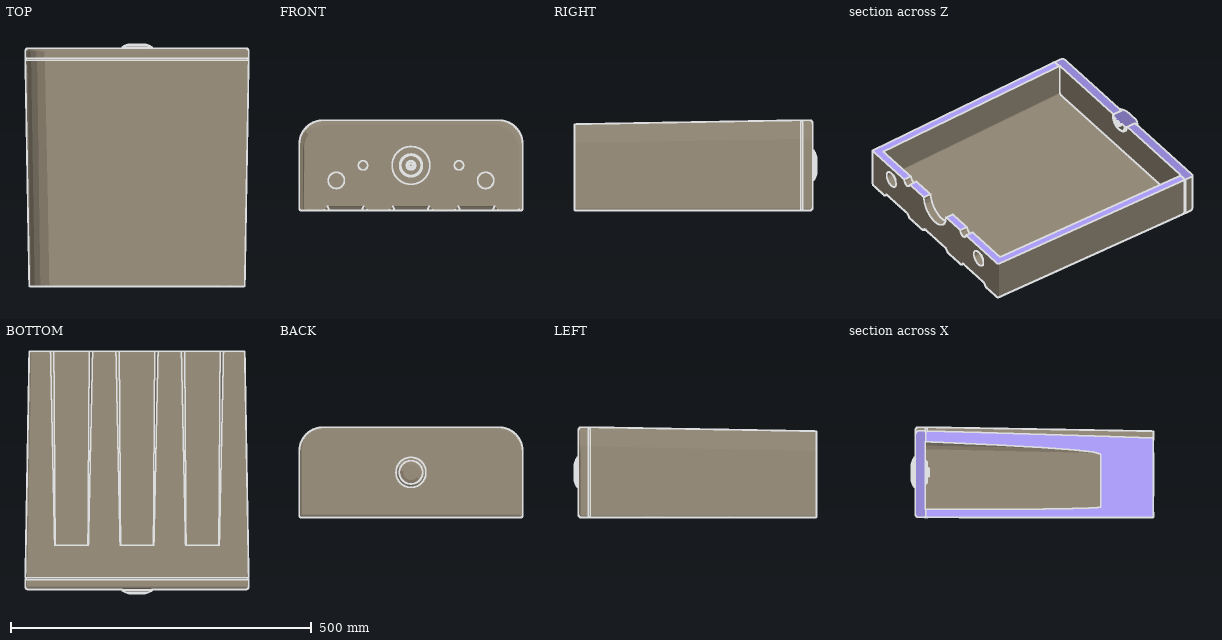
import cadquery as cq
import math

length = 403.0
width = 372.0
height = 150.7
draft_angle = math.radians(1.0)

top_radius = 40.5
bottom_radius = 4.0

knob_radius = 25.0
knob_rise = 6.5
knob_rim = 1.2
knob_cone_rise = 4.5
facet_count = 36
grip_radius = 19.5
grip_tip_radius = 13.0
shank_radius = 19.0
shank_bevel = 2.0
shank_overhang = 3.2
spindle_radius = 7.5
spindle_bevel = 1.5
spindle_height = 3.2
spindle_bore_radius = 3.0
spindle_bore_depth = 2.5

cover_thickness = 17.0
cover_edge_radius = 5.5
cover_back = length - knob_rise
seam = cover_back - cover_thickness
seam_bevel_length = 3.2
seam_bevel_depth = 1.5

wall = 14.0
front_edge_radius = 2.5

axis_height = height / 2
main_hole_diameter = 63.0
small_hole_diameter = 15.5
small_hole_offset = 79.8
side_hole_diameter = 27.0
side_hole_offset = 124.0
side_hole_height = 50.5

channel_pitch = 109.0
channel_width = 70.0
channel_roof_width = 59.0
channel_depth = 6.0
channel_length = 322.5
channel_draft = 0.9


def plane_at(y):
    """Workplane across the part at the given Y; its normal points to -Y."""
    return cq.Workplane("XZ", origin=(0, y, 0))


def cross_section(y, shrink, inset):
    """Closed outline at y: the full outline narrowed and lowered by shrink, then inset all round."""
    side = width / 2 - shrink - inset
    top = height - shrink - inset
    bottom = inset
    upper = top_radius - inset
    lower = bottom_radius
    return (
        plane_at(y)
        .moveTo(-side + lower, bottom)
        .lineTo(side - lower, bottom)
        .tangentArcPoint((side, bottom + lower), relative=False)
        .lineTo(side, top - upper)
        .tangentArcPoint((side - upper, top), relative=False)
        .lineTo(-side + upper, top)
        .tangentArcPoint((-side, top - upper), relative=False)
        .lineTo(-side, bottom + lower)
        .tangentArcPoint((-side + lower, bottom), relative=False)
        .wire()
        .val()
    )


def shrink_at(y):
    """How far the drafted housing has narrowed at y."""
    return (seam - y) * math.tan(draft_angle)


def loft(*wires):
    """Solid with straight sides through the given outlines."""
    return cq.Workplane(cq.Solid.makeLoft(list(wires), True))


def make_channel(x):
    """Tapered hexagonal bar centred on the foot plane; its upper half forms one channel."""
    base = channel_width / 2
    roof = channel_roof_width / 2
    outline = [
        (-base, 0),
        (-roof, channel_depth),
        (roof, channel_depth),
        (base, 0),
        (roof, -channel_depth),
        (-roof, -channel_depth),
    ]
    return plane_at(0).center(x, 0).polyline(outline).close().extrude(-channel_length, taper=channel_draft)


def make_housing():
    """Drafted hollow box, open at the back, with a bevelled rear rim and holes in its front wall."""
    bevel_start = seam - seam_bevel_length
    body = loft(
        cross_section(0, shrink_at(0), 0),
        cross_section(bevel_start, shrink_at(bevel_start), 0),
    )
    rear_bevel = loft(
        cross_section(bevel_start, shrink_at(bevel_start), 0),
        cross_section(seam, 0, seam_bevel_depth),
    )
    body = body.union(rear_bevel)
    for x in (-channel_pitch, 0, channel_pitch):
        body = body.cut(make_channel(x))
    body = body.faces("<Y").edges().fillet(front_edge_radius)

    cavity = loft(
        cross_section(wall, shrink_at(wall), wall),
        cross_section(seam, 0, wall),
    )
    body = body.cut(cavity)

    holes = [
        (0, axis_height, main_hole_diameter),
        (-small_hole_offset, axis_height, small_hole_diameter),
        (small_hole_offset, axis_height, small_hole_diameter),
        (-side_hole_offset, side_hole_height, side_hole_diameter),
        (side_hole_offset, side_hole_height, side_hole_diameter),
    ]
    for x, z, diameter in holes:
        body = body.cut(plane_at(0).center(x, z).circle(diameter / 2).extrude(-wall))
    return body


def make_cover(knob):
    """Plate that closes the housing, with a hole matching the knob shank."""
    plate = loft(cross_section(seam, 0, 0), cross_section(cover_back, 0, 0))
    plate = plate.faces(">Y").edges().fillet(cover_edge_radius)
    return plate.cut(knob)


def facet_ring(y, radius):
    """Regular polygon around the knob axis."""
    return plane_at(y).center(0, axis_height).polygon(facet_count, 2 * radius).wire().val()


def knob_disc(y, radius):
    """Circle around the knob axis."""
    return plane_at(y).center(0, axis_height).circle(radius)


def make_knob():
    """Domed knob with a faceted grip, a faceted shank through the cover and a bored spindle end."""
    cone_top = cover_back + knob_cone_rise
    inner_end = seam - shank_overhang
    rim = knob_disc(cover_back, knob_radius).extrude(-knob_rim)
    cone = loft(
        knob_disc(cover_back + knob_rim, knob_radius).wire().val(),
        knob_disc(cone_top, grip_radius).wire().val(),
    )
    grip = loft(facet_ring(cone_top, grip_radius), facet_ring(length, grip_tip_radius))
    shank = loft(
        facet_ring(inner_end, shank_radius - shank_bevel),
        facet_ring(inner_end + shank_bevel, shank_radius),
        facet_ring(cover_back, shank_radius),
    )
    spindle = knob_disc(inner_end, spindle_radius).extrude(spindle_height)
    spindle = spindle.faces("<Y").chamfer(spindle_bevel)
    bore = knob_disc(inner_end - spindle_height, spindle_bore_radius).extrude(-spindle_bore_depth)
    return rim.union(cone).union(grip).union(shank).union(spindle).cut(bore)


knob = make_knob()
housing = make_housing()
cover = make_cover(knob)

result = cq.Compound.makeCompound([housing.solids().val(), cover.solids().val(), knob.solids().val()])